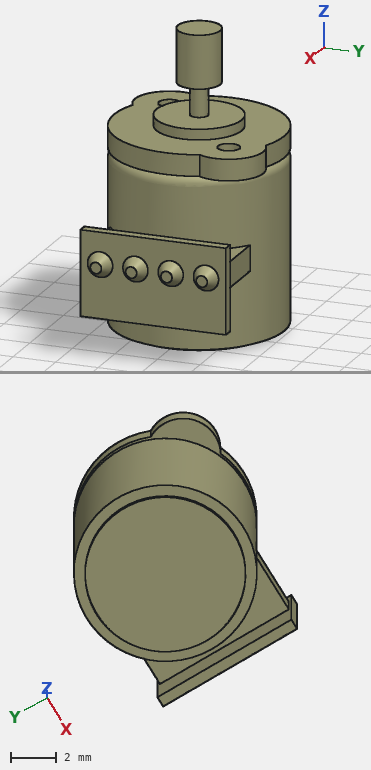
import cadquery as cq
import math

can_radius = 4.0
can_length = 2 * can_radius
can_top_fillet = 0.5
base_radius = 3.51
base_height = 0.2

flange_thickness = 1.0
ear_radius = 1.63
ear_center_radius = 3.25
ear_angles = (45, 225)
screw_hole_diameter = 1.0

boss_radius = 2.0
boss_height = 0.5
shaft_radius = 0.41
shaft_length = 1.51
cap_radius = 1.0
cap_length = 2.5

block_width = 6.58
block_thickness = 1.2
block_center_height = 4.0
plate_inner_x = 5.0
plate_thickness = 0.5
plate_width = 6.84
plate_height = 4.0
plate_center_height = 3.5
pin_count = 4
pin_pitch = 1.66
pin_length = 0.51
pin_base_radius = 0.59
pin_tip_radius = 0.26

can_bottom_z = base_height
flange_bottom_z = can_bottom_z + can_length
flange_top_z = flange_bottom_z + flange_thickness
shaft_bottom_z = flange_top_z + boss_height
cap_bottom_z = shaft_bottom_z + shaft_length
block_z = can_bottom_z + block_center_height
plate_z = can_bottom_z + plate_center_height
plate_outer_x = plate_inner_x + plate_thickness


def disc(radius, height, bottom_z, x=0, y=0):
    """Upright cylinder standing at bottom_z."""
    return cq.Workplane("XY", origin=(x, y, bottom_z)).circle(radius).extrude(height)


def make_can():
    can = disc(can_radius, can_length, can_bottom_z)
    can = can.faces(">Z").edges().fillet(can_top_fillet)
    return can.union(disc(base_radius, base_height, 0))


def make_flange():
    flange = disc(can_radius, flange_thickness, flange_bottom_z)
    ear_centers = [
        (
            ear_center_radius * math.cos(math.radians(angle)),
            ear_center_radius * math.sin(math.radians(angle)),
        )
        for angle in ear_angles
    ]
    for x, y in ear_centers:
        flange = flange.union(disc(ear_radius, flange_thickness, flange_bottom_z, x, y))
    for x, y in ear_centers:
        flange = flange.cut(disc(screw_hole_diameter / 2, flange_thickness, flange_bottom_z, x, y))
    return flange


def make_output():
    boss = disc(boss_radius, boss_height, flange_top_z)
    shaft = disc(shaft_radius, shaft_length, shaft_bottom_z)
    cap = disc(cap_radius, cap_length, cap_bottom_z)
    return boss.union(shaft).union(cap)


def make_pin(y):
    """Tapered contact pointing along +X from the outer face of the plate."""
    return (
        cq.Workplane("YZ", origin=(plate_outer_x, y, block_z))
        .circle(pin_base_radius)
        .workplane(offset=pin_length)
        .circle(pin_tip_radius)
        .loft()
    )


def make_terminal():
    block = (
        cq.Workplane("YZ", origin=(0, 0, block_z))
        .rect(block_width, block_thickness)
        .extrude(plate_inner_x)
    )
    plate = (
        cq.Workplane("YZ", origin=(plate_inner_x, 0, plate_z))
        .rect(plate_width, plate_height)
        .extrude(plate_thickness)
    )
    terminal = block.union(plate)
    first_pin_y = -pin_pitch * (pin_count - 1) / 2
    for index in range(pin_count):
        terminal = terminal.union(make_pin(first_pin_y + index * pin_pitch))
    return terminal


result = make_can().union(make_flange()).union(make_output()).union(make_terminal())